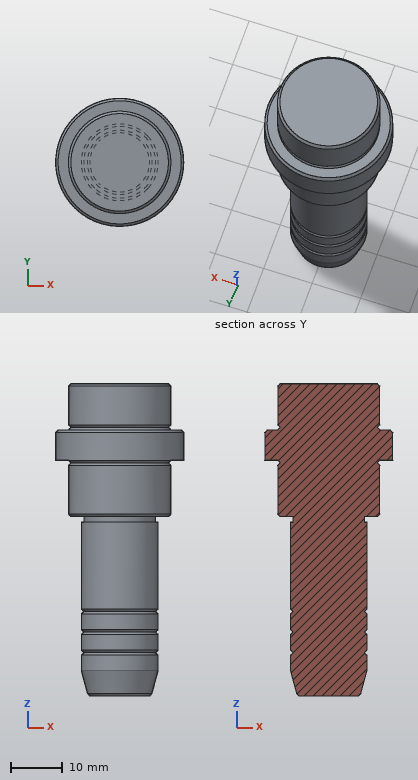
import cadquery as cq

head_diameter = 20.0
collar_diameter = 25.0
stem_diameter = 15.0
neck_diameter = 14.0
tip_diameter = 12.55

total_height = 61.0
head_groove_bottom = 52.0
collar_bottom = 46.0
shoulder_bottom = 35.0
neck_bottom = 34.0
taper_top = 5.0
first_stem_groove = 8.0
stem_groove_pitch = 4.0
stem_groove_count = 3

chamfer = 0.5
groove_depth = 0.5
groove_width = 2 * groove_depth


def cylinder(diameter, bottom, top):
    return cq.Workplane("XY").workplane(offset=bottom).circle(diameter / 2).extrude(top - bottom)


def v_groove(diameter, bottom):
    """Ring with a 90 degree V section, cutting into a cylinder of the given diameter."""
    radius = diameter / 2
    section = [
        (radius, bottom),
        (radius - groove_depth, bottom + groove_width / 2),
        (radius, bottom + groove_width),
    ]
    return cq.Workplane("XZ").polyline(section).close().revolve(360, (0, 0), (0, 1))


stem_radius = stem_diameter / 2
tip_radius = tip_diameter / 2
stem_profile = [
    (0, 0),
    (tip_radius - chamfer, 0),
    (tip_radius, chamfer),
    (stem_radius, taper_top),
    (stem_radius, neck_bottom),
    (0, neck_bottom),
]
stem = cq.Workplane("XZ").polyline(stem_profile).close().revolve(360, (0, 0), (0, 1))
for index in range(stem_groove_count):
    stem = stem.cut(v_groove(stem_diameter, first_stem_groove + index * stem_groove_pitch))

neck = cylinder(neck_diameter, neck_bottom, shoulder_bottom)

head = cylinder(head_diameter, shoulder_bottom, total_height).faces("<Z or >Z").edges().chamfer(chamfer)

collar = cylinder(collar_diameter, collar_bottom, head_groove_bottom).faces(">Z").edges().chamfer(chamfer)

upper_relief = v_groove(head_diameter, head_groove_bottom)
lower_relief = v_groove(head_diameter, collar_bottom - groove_width)

result = stem.union(neck).union(head.cut(upper_relief).cut(lower_relief)).union(collar)